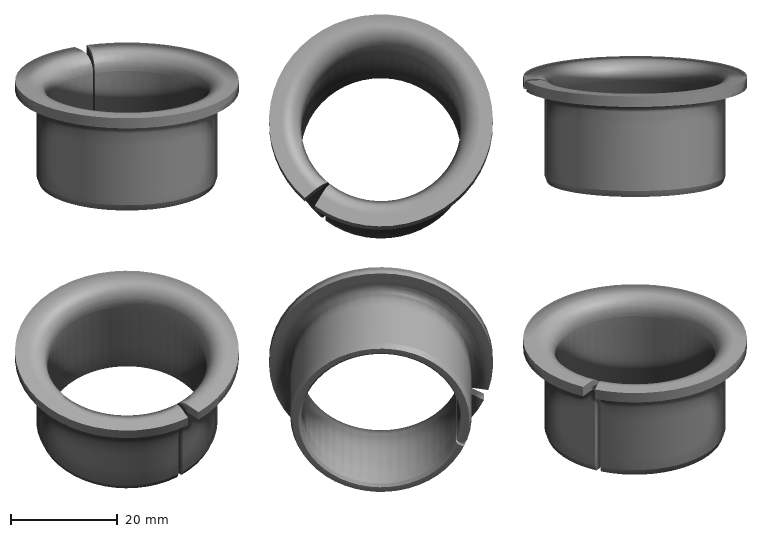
import cadquery as cq
import math

flange_radius = 21.0
height = 20.0
wall = 2.0
bore_radius = 15.0
tube_radius = bore_radius + wall
inner_bend = 3.5
outer_bend = inner_bend - wall
chamfer_height = 1.2
chamfer_angle = 20.0
chamfer_depth = chamfer_height * math.tan(math.radians(chamfer_angle))
bore_chamfer = 0.5

slit_bore_width = 0.35
slit_half_angle = 10.0

flange_underside = height - wall
bend_center_radius = bore_radius + inner_bend
bend_center_z = height - inner_bend
bend_cos = math.cos(math.radians(45))


def bend_midpoint(radius):
    """Middle of a quarter bend about the shared bend center."""
    return (bend_center_radius - radius * bend_cos, bend_center_z + radius * bend_cos)


def make_bushing():
    """Revolve the wall section: tube, rolled bend and flat flange, with the seam turned to the slit."""
    return (
        cq.Workplane("XZ")
        .moveTo(bore_radius, bore_chamfer)
        .lineTo(bore_radius + bore_chamfer, 0)
        .lineTo(tube_radius - chamfer_depth, 0)
        .lineTo(tube_radius, chamfer_height)
        .lineTo(tube_radius, bend_center_z)
        .threePointArc(bend_midpoint(outer_bend), (bend_center_radius, flange_underside))
        .lineTo(flange_radius, flange_underside)
        .lineTo(flange_radius, height)
        .lineTo(bend_center_radius, height)
        .threePointArc(bend_midpoint(inner_bend), (bore_radius, bend_center_z))
        .close()
        .revolve(360, (0, 0, 0), (0, 1, 0))
        .rotate((0, 0, 0), (0, 0, 1), 180)
    )


def make_slit():
    """Wedge that cuts the wall through its full height on the -X side."""
    half_bore_width = slit_bore_width / 2
    slope = math.tan(math.radians(slit_half_angle))
    tip_x = -bore_radius + half_bore_width / slope
    end_x = -flange_radius - wall
    half_end_width = (tip_x - end_x) * slope
    return (
        cq.Workplane("XY")
        .polyline([(tip_x, 0), (end_x, half_end_width), (end_x, -half_end_width)])
        .close()
        .extrude(height)
    )


result = make_bushing().cut(make_slit())